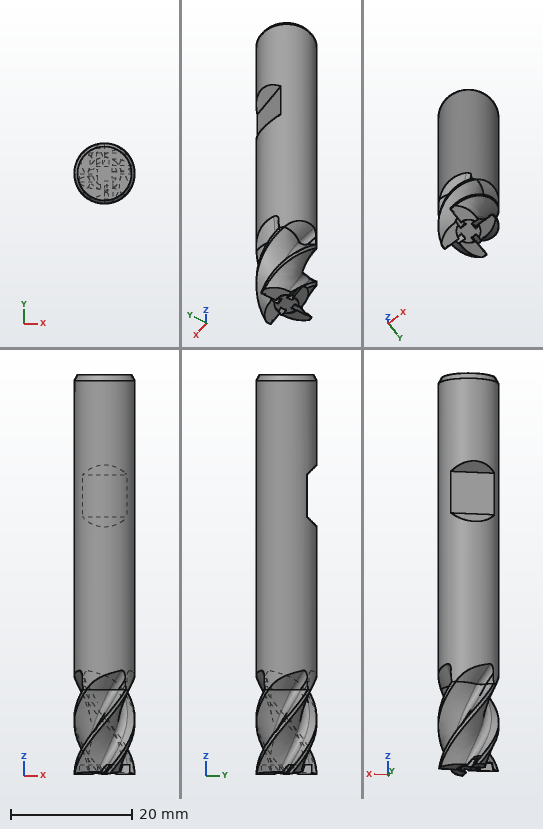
import cadquery as cq
import math

diameter = 10.0
radius = diameter / 2
total_length = 66.0
cut_length = 14.0
flute_count = 4
helix_angle = 40.0

end_chamfer_height = 1.0
end_chamfer_width = 0.55
clamp_flat_length = 7.0
clamp_flat_depth = 1.6
clamp_flat_from_end = 20.0
clamp_flat_center_z = total_length - clamp_flat_from_end
clamp_flat_center_y = radius - clamp_flat_depth

tooth_pitch = 360.0 / flute_count
land_angle = 9.0
back_end_radius = 2.75
back_end_angle = 60.0
back_bulge_radius = 3.8
back_bulge_angle = 31.0
root_radius = 2.75
root_angle = 74.0
rake_start_radius = 3.75
rake_lag_angle = 6.0
rake_start_angle = tooth_pitch - rake_lag_angle

runout_slope = 0.8
runout_lead_angle = 8.0
runout_angle = tooth_pitch + runout_lead_angle
runout_height = 6.0
void_margin = 6.0

corner_chamfer = 0.12
end_relief_angle = 10.0
dish_radius = 2.0
dish_depth = 0.35
gash_height = 1.6
gash_width = 1.0
gash_inner_radius = 1.2
gash_outer_radius = 4.2

helix_lead = math.pi * diameter / math.tan(math.radians(helix_angle))
cut_twist = 360.0 * cut_length / helix_lead


def polar(distance, angle):
    """Point in the XY plane at a distance from the axis and an angle in degrees from +X."""
    return cq.Vector(
        distance * math.cos(math.radians(angle)),
        distance * math.sin(math.radians(angle)),
    )


def tooth_section():
    """Closed outline of all teeth: land arc, bulged back, rounded root and rake face."""
    outline = cq.Workplane("XY").moveTo(radius, 0)
    for tooth in range(flute_count):
        edge = tooth * tooth_pitch
        outline = outline.threePointArc(
            polar(radius, edge + land_angle / 2),
            polar(radius, edge + land_angle),
        )
        outline = outline.threePointArc(
            polar(back_bulge_radius, edge + back_bulge_angle),
            polar(back_end_radius, edge + back_end_angle),
        )
        outline = outline.threePointArc(
            polar(root_radius, edge + root_angle),
            polar(rake_start_radius, edge + rake_start_angle),
        )
        if tooth < flute_count - 1:
            next_edge = polar(radius, edge + tooth_pitch)
            outline = outline.lineTo(next_edge.x, next_edge.y)
    return outline.close()


def end_gash():
    """Notch in front of the tooth along +X, its wall leaning with the helix, short of the tooth corner."""
    lean = gash_height * math.tan(math.radians(helix_angle))
    return (
        cq.Workplane("YZ", origin=(gash_inner_radius, 0, 0))
        .polyline([(0, 0), (lean, gash_height), (lean - gash_width, gash_height), (-gash_width, 0)])
        .close()
        .extrude(gash_outer_radius - gash_inner_radius)
    )


def end_relief():
    """Wedge that slopes the end face up behind the end cutting edge along +X."""
    relief_rise = radius * math.tan(math.radians(end_relief_angle))
    return (
        cq.Workplane("YZ")
        .polyline([(0, 0), (radius, 0), (radius, relief_rise)])
        .close()
        .extrude(radius)
    )


def make_cutter():
    """Twisted four-tooth cutting head."""
    envelope = cq.Workplane("XY").circle(radius).extrude(cut_length).faces("<Z").chamfer(corner_chamfer)
    cutter = tooth_section().twistExtrude(cut_length, cut_twist)
    cutter = cutter.intersect(envelope)
    cutter = cutter.cut(cq.Workplane("XY").circle(dish_radius).extrude(dish_depth))
    for tooth in range(flute_count):
        for cut_shape in (end_relief(), end_gash()):
            cutter = cutter.cut(cut_shape.rotate((0, 0, 0), (0, 0, 1), tooth * tooth_pitch))
    return cutter


def flute_runout():
    """Flute section carried upward and outward until it leaves the shank."""
    land_end = polar(radius, land_angle)
    back_bulge = polar(back_bulge_radius, back_bulge_angle)
    back_end = polar(back_end_radius, back_end_angle)
    root = polar(root_radius, root_angle)
    rake_start = polar(rake_start_radius, rake_start_angle)
    edge = polar(radius, tooth_pitch)
    rake_direction = (edge - rake_start).normalized()
    back_direction = (land_end - back_bulge).normalized()
    rake_far = edge + rake_direction * void_margin
    back_far = land_end + back_direction * void_margin
    corner_far = polar(radius + 2 * void_margin, tooth_pitch / 2)
    section = cq.Wire.assembleEdges([
        cq.Edge.makeLine(back_far, land_end),
        cq.Edge.makeThreePointArc(land_end, back_bulge, back_end),
        cq.Edge.makeThreePointArc(back_end, root, rake_start),
        cq.Edge.makeLine(rake_start, rake_far),
        cq.Edge.makeLine(rake_far, corner_far),
        cq.Edge.makeLine(corner_far, back_far),
    ])
    path = polar(runout_slope * runout_height, runout_angle) + cq.Vector(0, 0, runout_height)
    void = cq.Solid.extrudeLinear(section, [], path)
    return cq.Workplane(obj=void).translate((0, 0, cut_length))


def clamp_flat():
    """Side-lock flat on the +Y side with 45 degree end ramps."""
    half_flat = clamp_flat_length / 2
    half_opening = half_flat + clamp_flat_depth
    return (
        cq.Workplane("YZ", origin=(-radius, 0, 0))
        .polyline([
            (clamp_flat_center_y, clamp_flat_center_z - half_flat),
            (radius, clamp_flat_center_z - half_opening),
            (radius, clamp_flat_center_z + half_opening),
            (clamp_flat_center_y, clamp_flat_center_z + half_flat),
        ])
        .close()
        .extrude(diameter)
    )


def make_shank():
    """Round shank with chamfered end, clamping flat and flute run-outs at its lower end."""
    shank = (
        cq.Workplane("XY", origin=(0, 0, cut_length))
        .circle(radius)
        .extrude(total_length - cut_length)
        .faces(">Z")
        .chamfer(end_chamfer_height, end_chamfer_width)
    )
    shank = shank.cut(clamp_flat())
    for flute in range(flute_count):
        turn = cut_twist + flute * tooth_pitch
        shank = shank.cut(flute_runout().rotate((0, 0, 0), (0, 0, 1), turn))
    return shank


cutter = make_cutter()
shank = make_shank()
result = cq.Compound.makeCompound([shank.val(), cutter.val()])